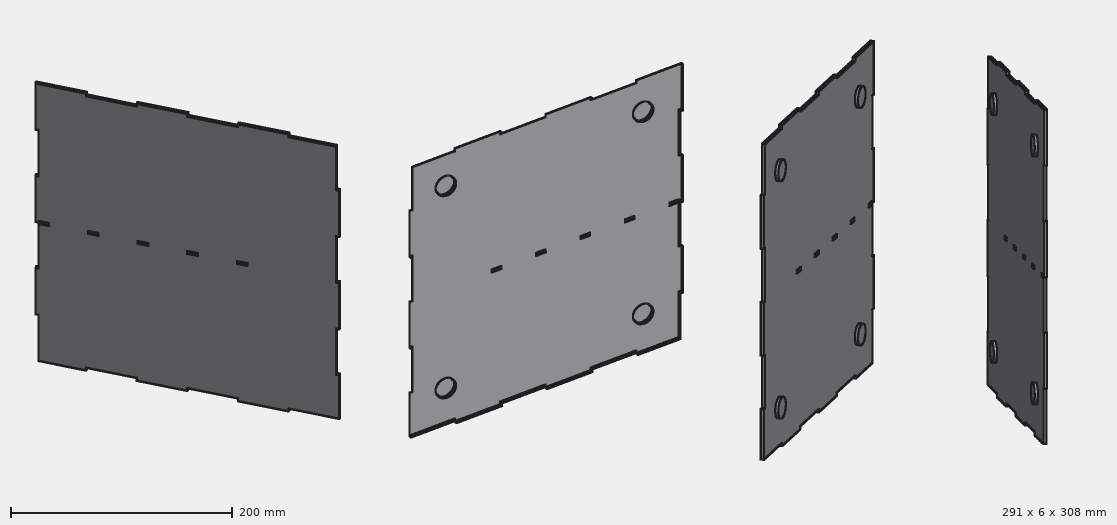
import cadquery as cq

WIDTH = 291.0
HEIGHT = 308.0
THICKNESS = 3.0

EDGE_DIVISIONS = 6
FINGER_DEPTH = THICKNESS
TAB_WIDTH = WIDTH / EDGE_DIVISIONS
TAB_HEIGHT = HEIGHT / EDGE_DIVISIONS

SLOT_COUNT = 5
SLOT_LENGTH = 10.0
SLOT_HEIGHT = THICKNESS
SLOT_PITCH = (WIDTH - 2 * FINGER_DEPTH) / EDGE_DIVISIONS

FOOT_DIAMETER = 20.0
FOOT_HEIGHT = 3.0
FOOT_INSET = 40.0


def box_at(x, z, width, height):
    """Block through the panel thickness with its lower-left corner at (x, z)."""
    return cq.Workplane("XY").box(width, THICKNESS, height, centered=False).translate((x, 0, z))


def cut_finger_recesses(panel):
    """Recess alternate divisions so that tabs and recesses take turns along each edge."""
    for tab in range(0, EDGE_DIVISIONS, 2):
        recess = tab + 1
        for z in (0, HEIGHT - FINGER_DEPTH):
            panel = panel.cut(box_at(recess * TAB_WIDTH, z, TAB_WIDTH, FINGER_DEPTH))
        panel = panel.cut(box_at(0, tab * TAB_HEIGHT, FINGER_DEPTH, TAB_HEIGHT))
        panel = panel.cut(box_at(WIDTH - FINGER_DEPTH, recess * TAB_HEIGHT, FINGER_DEPTH, TAB_HEIGHT))
    return panel


def cut_slots(panel):
    """Cut the slot row; the first slot opens into a recess of the left edge."""
    slot_bottom = (HEIGHT - SLOT_HEIGHT) / 2
    for index in range(SLOT_COUNT):
        slot_left = FINGER_DEPTH + index * SLOT_PITCH
        panel = panel.cut(box_at(slot_left, slot_bottom, SLOT_LENGTH, SLOT_HEIGHT))
    return panel


def add_feet(panel):
    """Add a round foot to the back (+Y) face at each corner."""
    for x in (FOOT_INSET, WIDTH - FOOT_INSET):
        for z in (FOOT_INSET, HEIGHT - FOOT_INSET):
            foot = cq.Solid.makeCylinder(
                FOOT_DIAMETER / 2,
                FOOT_HEIGHT,
                cq.Vector(x, THICKNESS, z),
                cq.Vector(0, 1, 0),
            )
            panel = panel.union(cq.Workplane(obj=foot))
    return panel


blank = box_at(0, 0, WIDTH, HEIGHT)
result = add_feet(cut_slots(cut_finger_recesses(blank)))